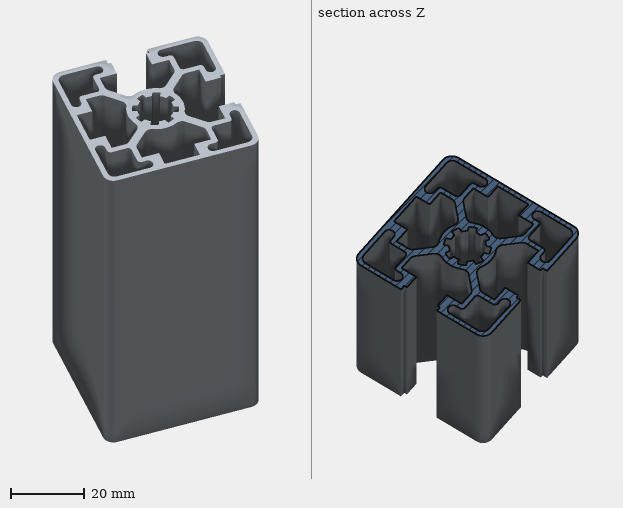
import cadquery as cq
import math

side = 45.0
length = 100.0
corner_radius = 3.0
wall = 1.5

mouth_half = 5.1
recess_half = 6.0
lip_inner = 16.5
channel_half = 10.1
channel_fillet = 2.0

web_thickness = 2.4
hub_radius = 8.0
hub_fillet = 2.0

hollow_wall = 1.6
hollow_fillet = 2.0
hollow_end = 8.0
hollow_round = 1.0

bore_radius = 5.0
groove_radius = 6.4
groove_width = 2.2
groove_count = 8

half_side = side / 2
wall_inner = half_side - wall


def round_edges(body, points, radius):
    """Fillet the vertical edges of a full-length body that stand at the given XY points."""
    for x, y in points:
        edge = cq.selectors.NearestToPointSelector((x, y, length / 2))
        body = body.edges("|Z").edges(edge).fillet(radius)
    return body


def channel():
    """T-slot channel on the +Y side, up to the outer wall, bounded inwards by the webs and the hub."""
    web_offset = web_thickness / math.sqrt(2)
    outline = [
        (0, web_offset),
        (channel_half, channel_half + web_offset),
        (channel_half, lip_inner),
        (mouth_half, lip_inner),
        (mouth_half, wall_inner),
        (-mouth_half, wall_inner),
        (-mouth_half, lip_inner),
        (-channel_half, lip_inner),
        (-channel_half, channel_half + web_offset),
    ]
    body = cq.Workplane("XY").polyline(outline).close().extrude(length)

    bend = channel_half + web_offset
    body = round_edges(body, [(-channel_half, bend), (channel_half, bend)], channel_fillet)
    body = body.cut(cq.Workplane("XY").circle(hub_radius).extrude(length))

    join_x = (math.sqrt(2 * hub_radius**2 - web_offset**2) - web_offset) / 2
    join_y = join_x + web_offset
    return round_edges(body, [(-join_x, join_y), (join_x, join_y)], hub_fillet)


def slot_mouth():
    """Wider opening through the outer wall of the +Y side."""
    return (
        cq.Workplane("XY")
        .center(0, wall_inner + wall / 2)
        .rect(2 * recess_half, wall)
        .extrude(length)
    )


def corner_hollow():
    """Hollow in the +X +Y corner: a square chamber with a round-ended arm along each outer wall."""
    chamber = channel_half + hollow_wall
    arm = lip_inner + hollow_wall
    arm_radius = (wall_inner - arm) / 2
    end_center = hollow_end + arm_radius
    body = (
        cq.Workplane("XY")
        .moveTo(chamber, chamber)
        .lineTo(arm, chamber)
        .lineTo(arm, end_center)
        .threePointArc((arm + arm_radius, hollow_end), (wall_inner, end_center))
        .lineTo(wall_inner, wall_inner)
        .lineTo(end_center, wall_inner)
        .threePointArc((hollow_end, arm + arm_radius), (end_center, arm))
        .lineTo(chamber, arm)
        .close()
        .extrude(length)
    )
    body = round_edges(body, [(wall_inner, wall_inner)], hollow_fillet)
    bends = [(chamber, chamber), (arm, chamber), (chamber, arm)]
    return round_edges(body, bends, hollow_round)


def splined_bore():
    """Central bore with straight-sided grooves evenly spaced around it."""
    bore = cq.Workplane("XY").circle(bore_radius).extrude(length)
    pitch = 360 / groove_count
    for index in range(groove_count):
        groove = (
            cq.Workplane("XY")
            .center(groove_radius / 2, 0)
            .rect(groove_radius, groove_width)
            .extrude(length)
            .rotate((0, 0, 0), (0, 0, 1), (index + 0.5) * pitch)
        )
        bore = bore.union(groove)
    return bore.intersect(cq.Workplane("XY").circle(groove_radius).extrude(length))


def turned(body, quarter_turns):
    return body.rotate((0, 0, 0), (0, 0, 1), 90 * quarter_turns)


result = cq.Workplane("XY").rect(side, side).extrude(length).edges("|Z").fillet(corner_radius)

for quarter in range(4):
    result = result.cut(turned(channel(), quarter))
    result = result.cut(turned(corner_hollow(), quarter))

for quarter in (0, 1):
    result = result.cut(turned(slot_mouth(), quarter))

result = result.cut(splined_bore())